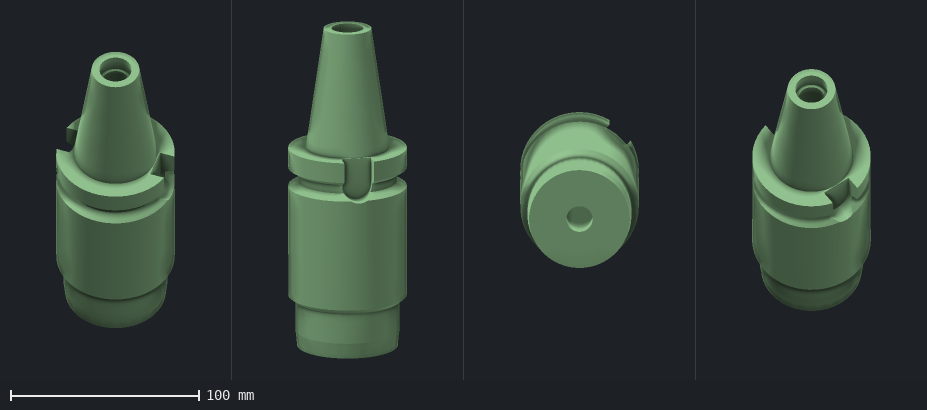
import cadquery as cq

total_height = 175.1
flange_radius = 31.5

nose_radius = 27.7
nose_tip_radius = 26.8
nose_taper_height = 8.4
nose_height = 24.7

body_chamfer_height = 3.2
body_top = 88.0
body_shoulder = 91.0

groove_radius = 26.5
groove_top = 95.5
flange_rim_bottom = 98.4
flange_top = 109.3

shank_radius = 22.2
collar_height = 0.5
taper_ratio = 7 / 24
shank_base = flange_top + collar_height
shank_tip_radius = shank_radius - (total_height - shank_base) * taper_ratio / 2

bore_radius = 7.0
counterbore_radius = 8.5
counterbore_depth = 9.0

slot_width = 16.1
slot_floor_distance = 22.5
slot_bottom = 86.8


def make_body():
    """Revolve the outer profile about Z."""
    profile = [
        (0, 0),
        (nose_tip_radius, 0),
        (nose_radius, nose_taper_height),
        (nose_radius, nose_height),
        (flange_radius, nose_height + body_chamfer_height),
        (flange_radius, body_top),
        (groove_radius, body_shoulder),
        (groove_radius, groove_top),
        (flange_radius, flange_rim_bottom),
        (flange_radius, flange_top),
        (shank_radius, flange_top),
        (shank_radius, shank_base),
        (shank_tip_radius, total_height),
        (0, total_height),
    ]
    return cq.Workplane("XZ").polyline(profile).close().revolve(360, (0, 0), (0, 1))


def make_drive_slot(side):
    """Round-bottomed slot cutter, open at the flange top; side is +1 or -1."""
    half_width = slot_width / 2
    arc_center = slot_bottom + half_width
    return (
        cq.Workplane("YZ", origin=(side * slot_floor_distance, 0, 0))
        .moveTo(-half_width, flange_top)
        .lineTo(-half_width, arc_center)
        .threePointArc((0, slot_bottom), (half_width, arc_center))
        .lineTo(half_width, flange_top)
        .close()
        .extrude(side * flange_radius)
    )


def make_bore():
    """Through bore with a counterbore at the shank tip."""
    bore = cq.Workplane("XY").circle(bore_radius).extrude(total_height)
    counterbore = (
        cq.Workplane("XY", origin=(0, 0, total_height - counterbore_depth))
        .circle(counterbore_radius)
        .extrude(counterbore_depth)
    )
    return bore.union(counterbore)


result = make_body().cut(make_bore())
for slot_side in (-1, 1):
    result = result.cut(make_drive_slot(slot_side))